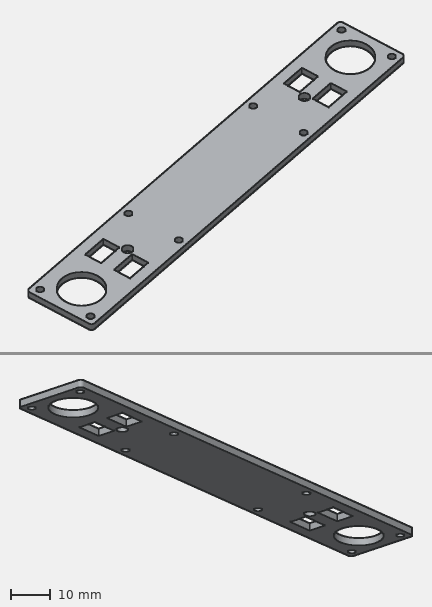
import cadquery as cq

length = 127.9
width = 21.0
thickness = 2.0
corner_radius = 1.0

screw_diameter = 2.0
screw_x = 8.0
outer_screw_y = 61.5
inner_screw_y = 25.5

port_diameter = 12.5
port_y = 54.9
pin_diameter = 3.0
pin_y = 36.0
window_width = 5.1
window_length = 7.4
window_x = 4.6
window_y = 40.5


def mirrored_points(x, y):
    """Return the point repeated in all four quadrants."""
    return [(side * x, end * y) for side in (-1, 1) for end in (-1, 1)]


def both_ends(y):
    """Return centreline points at both ends of the plate."""
    return [(0, -y), (0, y)]


def round_cutter(points, diameter):
    return cq.Workplane("XY").pushPoints(points).circle(diameter / 2).extrude(thickness)


def window_cutter():
    points = mirrored_points(window_x, window_y)
    return cq.Workplane("XY").pushPoints(points).rect(window_width, window_length).extrude(thickness)


plate = cq.Workplane("XY").rect(width, length).extrude(thickness).edges("|Z").fillet(corner_radius)

screw_points = mirrored_points(screw_x, outer_screw_y) + mirrored_points(screw_x, inner_screw_y)

result = (
    plate
    .cut(round_cutter(screw_points, screw_diameter))
    .cut(round_cutter(both_ends(port_y), port_diameter))
    .cut(round_cutter(both_ends(pin_y), pin_diameter))
    .cut(window_cutter())
)